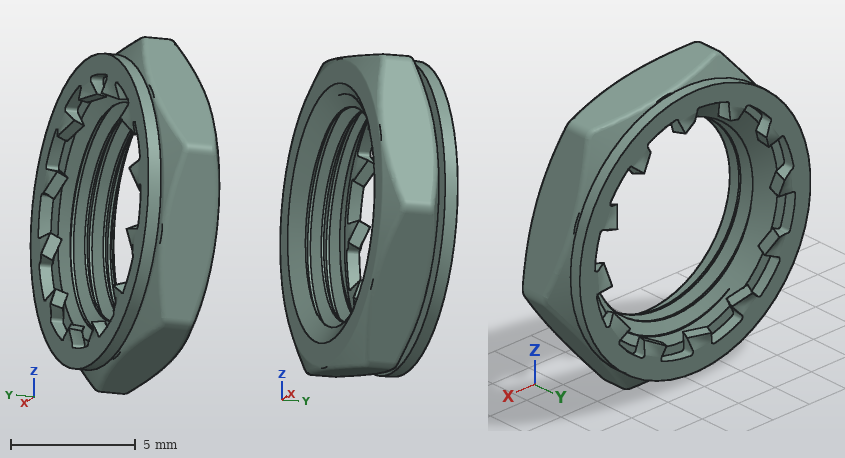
import cadquery as cq
import math

ACROSS_FLATS = 12.6
NUT_THICKNESS = 2.42
HEX_TURN = 9.5
CORNER_RADIUS = 0.53
CHAMFER_ANGLE = 28.0
FACE_RADIUS = 6.15
CHAMFER_ROUND = 0.25
FACE_ROUND = 0.17
COUNTERSINK_RADIUS = 5.23
COUNTERSINK_ANGLE = 30.0

MINOR_RADIUS = 4.32
MAJOR_RADIUS = 4.82
PITCH = 0.8
ROOT_FLAT = 0.121
FLANK_ANGLE = 30.0
THREAD_START = 0.17
THREAD_TURNS = 3
GROOVE_OVERRUN = 0.04

WASHER_DIAMETER = 12.7
WASHER_INNER_RADIUS = 5.51
WASHER_THICKNESS = 0.54
OVERALL_DEPTH = 3.34
TOOTH_COUNT = 12
TOOTH_WIDTH = 1.02
TOOTH_TWIST = 25.0
TOOTH_TIP_RADIUS = 4.77
TOOTH_ROOT_RADIUS = 5.33
TOOTH_FIRST_ANGLE = -4.3
ROOT_FILLET = 0.14

CHAMFER_SLOPE = math.tan(math.radians(CHAMFER_ANGLE))
COUNTERSINK_SLOPE = math.tan(math.radians(COUNTERSINK_ANGLE))
TWIST = math.radians(TOOTH_TWIST)
TIP_HALF_DEPTH = (TOOTH_WIDTH * math.sin(TWIST) + WASHER_THICKNESS * math.cos(TWIST)) / 2
WASHER_MID_Y = OVERALL_DEPTH - TIP_HALF_DEPTH

AXIS_START = (0, 0, 0)
AXIS_END = (0, 0, 1)


def disc(half_profile):
    """Turn a closed (radius, height) outline about the Z axis."""
    return cq.Workplane("XZ").polyline(half_profile).close().revolve(360, (0, 0), (0, 1))


def along_y(body):
    """Lay a body built along Z onto the Y axis, its base facing -Y."""
    return body.rotate(AXIS_START, (1, 0, 0), -90)


def nut_blank():
    """Hexagon with rounded corners, trimmed by a chamfer cone at each end."""
    hexagon = (
        cq.Workplane("XY")
        .polygon(6, ACROSS_FLATS / math.cos(math.pi / 6))
        .extrude(NUT_THICKNESS)
        .edges("|Z")
        .fillet(CORNER_RADIUS)
        .rotate(AXIS_START, AXIS_END, HEX_TURN)
    )
    mid_height = NUT_THICKNESS / 2
    waist_radius = FACE_RADIUS + mid_height / CHAMFER_SLOPE
    cones = disc([
        (0, 0),
        (FACE_RADIUS, 0),
        (waist_radius, mid_height),
        (FACE_RADIUS, NUT_THICKNESS),
        (0, NUT_THICKNESS),
    ])
    return hexagon.intersect(cones)


def round_chamfers(blank):
    """Round the curved edges along the flats, then the two end face circles."""
    flat_edges = [e for e in blank.edges().vals() if e.geomType() not in ("CIRCLE", "LINE")]
    rounded = blank.newObject(flat_edges).fillet(CHAMFER_ROUND)
    face_edges = cq.selectors.RadiusNthSelector(-1)
    return rounded.edges(face_edges).fillet(FACE_ROUND)


def bore():
    """Through hole with a countersink at both ends."""
    depth = (COUNTERSINK_RADIUS - MINOR_RADIUS) * COUNTERSINK_SLOPE
    return disc([
        (0, 0),
        (COUNTERSINK_RADIUS, 0),
        (MINOR_RADIUS, depth),
        (MINOR_RADIUS, NUT_THICKNESS - depth),
        (COUNTERSINK_RADIUS, NUT_THICKNESS),
        (0, NUT_THICKNESS),
    ])


def groove_turn():
    """One right-hand turn of the thread groove, starting on the -Y side."""
    mouth_radius = MINOR_RADIUS - GROOVE_OVERRUN
    half_root = ROOT_FLAT / 2
    half_mouth = half_root + (MAJOR_RADIUS - mouth_radius) * math.tan(math.radians(FLANK_ANGLE))
    helix = cq.Workplane(obj=cq.Wire.makeHelix(PITCH, PITCH, MINOR_RADIUS))
    profile = cq.Workplane("XZ").polyline([
        (mouth_radius, -half_mouth),
        (MAJOR_RADIUS, -half_root),
        (MAJOR_RADIUS, half_root),
        (mouth_radius, half_mouth),
    ]).close()
    return profile.sweep(helix, isFrenet=True).rotate(AXIS_START, AXIS_END, -90)


def make_nut():
    """Nut blank, bored through and threaded one turn at a time."""
    nut = round_chamfers(nut_blank()).cut(bore())
    turn_of_thread = groove_turn()
    for turn in range(THREAD_TURNS):
        nut = nut.cut(turn_of_thread.translate((0, 0, THREAD_START + turn * PITCH)))
    return along_y(nut)


def tooth_angles():
    """Directions of the teeth around the washer, in degrees."""
    return [TOOTH_FIRST_ANGLE + 360 / TOOTH_COUNT * i for i in range(TOOTH_COUNT)]


def washer_ring():
    """Flat ring, centred on Z = 0, with a square-cornered stub for each tooth."""
    outer_radius = WASHER_DIAMETER / 2
    ring = cq.Workplane("XY").circle(outer_radius).circle(WASHER_INNER_RADIUS)
    ring = ring.extrude(WASHER_THICKNESS).translate((0, 0, -WASHER_THICKNESS / 2))
    stub_length = (outer_radius + WASHER_INNER_RADIUS) / 2 - TOOTH_ROOT_RADIUS
    stub = (
        cq.Workplane("XY")
        .box(stub_length, TOOTH_WIDTH, WASHER_THICKNESS, centered=(False, True, True))
        .translate((TOOTH_ROOT_RADIUS, 0, 0))
    )
    for angle in tooth_angles():
        ring = ring.union(stub.rotate(AXIS_START, AXIS_END, -angle))
    return ring


def fillet_tooth_roots(ring):
    """Round the inner corners between the ring and the stubs."""
    tolerance = 0.001
    root_edges = [
        e for e in ring.edges("|Z").vals()
        if math.isclose(math.hypot(e.Center().x, e.Center().y), WASHER_INNER_RADIUS, abs_tol=tolerance)
    ]
    return ring.newObject(root_edges).fillet(ROOT_FILLET)


def twisted_tooth():
    """Tooth along +X whose section turns about X from flat to TOOTH_TWIST at the tip."""
    return (
        cq.Workplane("YZ", origin=(TOOTH_ROOT_RADIUS, 0, 0))
        .rect(TOOTH_WIDTH, WASHER_THICKNESS)
        .workplane(offset=TOOTH_TIP_RADIUS - TOOTH_ROOT_RADIUS)
        .transformed(rotate=(0, 0, TOOTH_TWIST))
        .rect(TOOTH_WIDTH, WASHER_THICKNESS)
        .loft(ruled=True)
    )


def make_washer():
    """Ring with every tooth twisted the same way, placed behind the nut."""
    washer = fillet_tooth_roots(washer_ring())
    tooth = twisted_tooth()
    for angle in tooth_angles():
        washer = washer.union(tooth.rotate(AXIS_START, AXIS_END, -angle))
    return along_y(washer).translate((0, WASHER_MID_Y, 0))


nut = make_nut()
washer = make_washer()
result = cq.Compound.makeCompound([nut.solids().val(), washer.solids().val()])